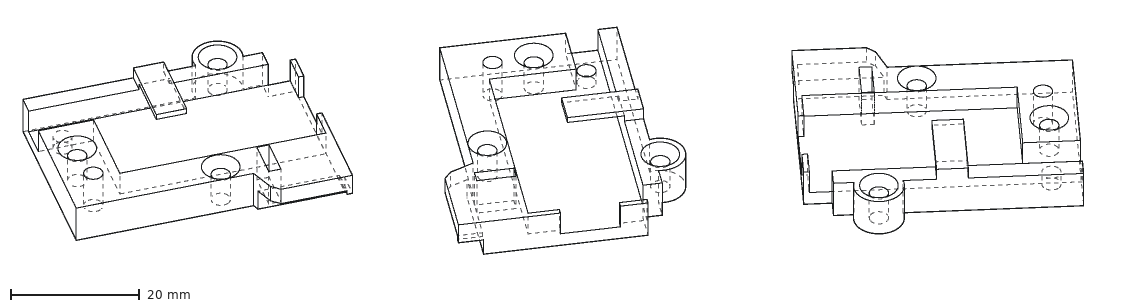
import cadquery as cq
import math

TILT = -1.7
TILTED_LENGTH = 44.2

WIDTH = 28.05
HEIGHT = 6.5
FLOOR = 2.35
RAIL_WIDTH = 3.05

CORNER_DROP = (WIDTH - RAIL_WIDTH) * math.sin(math.radians(-TILT))
LENGTH = (TILTED_LENGTH - CORNER_DROP) / math.cos(math.radians(TILT))

RAIL_END = 39.05
POCKET_RIGHT = 21.9
POCKET_FRONT = 9.0
CHANNEL_RIGHT = 8.15
LIP_THICKNESS = 0.9
LEFT_LIP_END = 7.43
RIGHT_LIP_START = 16.95

WING_RIGHT = 33.05
WING_FRONT = 28.9
WING_BOTTOM = 3.62
WING_SIDE_START = 31.82
WING_BEVEL = (31.9, 30.45)
WING_BASE_RIGHT = 29.1
WING_LIP_BOTTOM = 2.87
SLOT_LEFT = 22.05
SLOT_RIGHT = 28.3
SLOT_FRONT = 31.3
SLOT_BACK = 33.3

ARM_FRONT = 18.0
ARM_BACK = 22.95
ARM_END = 12.05
ARM_TOP = 8.5
ARM_THICKNESS = 0.97

BOSS_CENTER = (-0.97, 32.0)
BOSS_RADIUS = 4.0
HOLE_DIAMETER = 3.0
SINK_DIAMETER = 2 * HOLE_DIAMETER
SINK_DEPTH = (SINK_DIAMETER - HOLE_DIAMETER) / 2
SCREW_CENTERS = [BOSS_CENTER, (25.0, 24.5), (14.0, 4.5)]
PIN_CENTERS = [(5.7, 4.7), (20.65, 5.1)]


def block(left, right, front, back, bottom, top):
    """Box given by its limits along X, Y and Z."""
    box = cq.Workplane("XY").box(right - left, back - front, top - bottom, centered=False)
    return box.translate((left, front, bottom))


def make_plate():
    """Plate with a notched left rail and the screw boss on its side."""
    plate = block(0, WIDTH, 0, LENGTH, 0, HEIGHT)
    plate = plate.cut(block(0, RAIL_WIDTH, RAIL_END, LENGTH, 0, HEIGHT))
    boss = cq.Workplane("XY").center(*BOSS_CENTER).circle(BOSS_RADIUS).extrude(HEIGHT)
    return plate.union(boss)


def make_wing():
    """Overhang with a bevelled front, its narrower base and a lip along the back."""
    wing = (
        cq.Workplane("XY")
        .moveTo(POCKET_RIGHT, WING_FRONT)
        .lineTo(WIDTH, WING_FRONT)
        .lineTo(*WING_BEVEL)
        .lineTo(WING_RIGHT, WING_SIDE_START)
        .lineTo(WING_RIGHT, LENGTH)
        .lineTo(POCKET_RIGHT, LENGTH)
        .close()
        .extrude(HEIGHT)
    )
    undercut = block(WING_BASE_RIGHT, WING_RIGHT, WING_FRONT, LENGTH - LIP_THICKNESS, 0, WING_BOTTOM)
    lip_undercut = block(WING_BASE_RIGHT, WING_RIGHT, WING_FRONT, LENGTH, 0, WING_LIP_BOTTOM)
    return wing.cut(undercut).cut(lip_undercut)


def make_pocket():
    """Pocket, its channel out of the front and its opening between the back lips."""
    lip_front = LENGTH - LIP_THICKNESS
    pocket = block(RAIL_WIDTH, POCKET_RIGHT, POCKET_FRONT, lip_front, FLOOR, HEIGHT)
    channel = block(RAIL_WIDTH, CHANNEL_RIGHT, 0, POCKET_FRONT, FLOOR, HEIGHT)
    opening = block(LEFT_LIP_END, RIGHT_LIP_START, lip_front, LENGTH, FLOOR, HEIGHT)
    return pocket.union(channel).union(opening)


def make_arm():
    """Post on the left rail carrying a thin arm."""
    post = block(0, RAIL_WIDTH, ARM_FRONT, ARM_BACK, HEIGHT, ARM_TOP)
    arm = block(0, ARM_END, ARM_FRONT, ARM_BACK, ARM_TOP - ARM_THICKNESS, ARM_TOP)
    return post.union(arm)


body = make_plate().union(make_wing()).cut(make_pocket())
body = body.cut(block(SLOT_LEFT, SLOT_RIGHT, SLOT_FRONT, SLOT_BACK, 0, HEIGHT))

top_plane = cq.Workplane("XY", origin=(0, 0, HEIGHT))
for x, y in SCREW_CENTERS + PIN_CENTERS:
    body = body.cut(top_plane.center(x, y).circle(HOLE_DIAMETER / 2).extrude(-HEIGHT))
for x, y in SCREW_CENTERS:
    cone = cq.Solid.makeCone(HOLE_DIAMETER / 2, SINK_DIAMETER / 2, SINK_DEPTH)
    body = body.cut(cq.Workplane(cone.translate(cq.Vector(x, y, HEIGHT - SINK_DEPTH))))

result = body.union(make_arm()).rotate((0, 0, 0), (0, 0, 1), TILT)